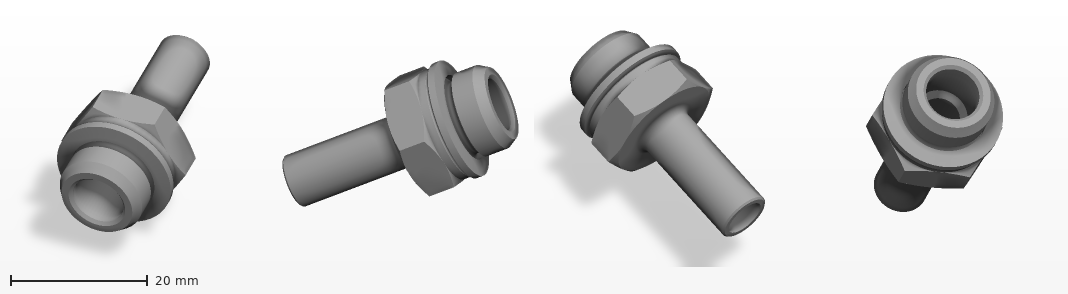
import cadquery as cq
import math

LENGTH = 34.0
TIP = -LENGTH / 2
STEM_END = LENGTH / 2

HEX_WIDTH = 17.0
HEX_CORNER_RADIUS = HEX_WIDTH / 2 / math.cos(math.pi / 6)
HEX_START = TIP + 9.5
HEX_LENGTH = 5.5
HEX_END = HEX_START + HEX_LENGTH
HEX_CHAMFER_ANGLE = math.radians(30)
COLLAR_RADIUS = HEX_WIDTH / 2
COLLAR_START = TIP + 8.0
COLLAR_CHAMFER = 0.2

STEM_RADIUS = 4.0
STEM_CHAMFER = 0.27
STEM_FILLET = 1.0

SPIGOT_RADIUS = 6.53
SPIGOT_TIP_RADIUS = 5.6
SPIGOT_CHAMFER_LENGTH = 1.53
SPIGOT_END = TIP + 4.93
NECK_RADIUS = 5.6
NECK_START = TIP + 5.88
NECK_END = TIP + 6.2
NECK_FILLET = 0.68
NECK_CONE_ANGLE = math.radians(45)

SEAT_RADIUS = SPIGOT_RADIUS
SEAT_FILLET = SEAT_RADIUS - NECK_RADIUS

BORE_RADIUS = 3.0
MOUTH_RADIUS = 4.0
MOUTH_RIM_RADIUS = 4.5
MOUTH_CHAMFER = MOUTH_RIM_RADIUS - MOUTH_RADIUS
MOUTH_DEPTH = 8.0
MOUTH_CONE_LENGTH = (MOUTH_RADIUS - BORE_RADIUS) * math.tan(math.radians(30))

WASHER_RADIUS = 9.0
WASHER_HOLE_RADIUS = 6.6
WASHER_THICKNESS = 1.87
WASHER_RIM_THICKNESS = 1.1


def revolve_about_y(profile):
    """Turn a closed (radius, station) profile once around the Y axis."""
    return profile.close().revolve(360, (0, 0, 0), (0, 1, 0))


def neck_fillet_point(angle):
    """Radius, and axial distance from the neck's end, of the neck fillet at an arc angle."""
    radius = NECK_RADIUS + NECK_FILLET * (1 - math.cos(angle))
    return radius, NECK_FILLET * math.sin(angle)


def make_turned_body():
    """Collar, stem and spigot as one turned blank."""
    fillet_middle_radius, fillet_middle_rise = neck_fillet_point(NECK_CONE_ANGLE / 2)
    fillet_end_radius, fillet_end_rise = neck_fillet_point(NECK_CONE_ANGLE)
    seat_arc_middle = (
        NECK_RADIUS + SEAT_FILLET * (1 - math.sqrt(0.5)),
        NECK_END + SEAT_FILLET * math.sqrt(0.5),
    )
    stem_arc_middle = (
        STEM_RADIUS + STEM_FILLET * (1 - math.sqrt(0.5)),
        HEX_END + STEM_FILLET * (1 - math.sqrt(0.5)),
    )
    profile = (
        cq.Workplane("XY")
        .moveTo(0, TIP)
        .lineTo(SPIGOT_TIP_RADIUS, TIP)
        .lineTo(SPIGOT_RADIUS, TIP + SPIGOT_CHAMFER_LENGTH)
        .lineTo(SPIGOT_RADIUS, SPIGOT_END)
        .lineTo(fillet_end_radius, NECK_START - fillet_end_rise)
        .threePointArc(
            (fillet_middle_radius, NECK_START - fillet_middle_rise),
            (NECK_RADIUS, NECK_START),
        )
        .lineTo(NECK_RADIUS, NECK_END)
        .threePointArc(seat_arc_middle, (SEAT_RADIUS, NECK_END + SEAT_FILLET))
        .lineTo(SEAT_RADIUS, COLLAR_START)
        .lineTo(COLLAR_RADIUS - COLLAR_CHAMFER, COLLAR_START)
        .lineTo(COLLAR_RADIUS, COLLAR_START + COLLAR_CHAMFER)
        .lineTo(COLLAR_RADIUS, HEX_END)
        .lineTo(STEM_RADIUS + STEM_FILLET, HEX_END)
        .threePointArc(stem_arc_middle, (STEM_RADIUS, HEX_END + STEM_FILLET))
        .lineTo(STEM_RADIUS, STEM_END - STEM_CHAMFER)
        .lineTo(STEM_RADIUS - STEM_CHAMFER, STEM_END)
        .lineTo(0, STEM_END)
    )
    return revolve_about_y(profile)


def make_hexagon():
    """Hexagonal prism with its corners cut back by a cone at both ends."""
    prism = (
        cq.Workplane("XZ", origin=(0, HEX_START, 0))
        .polygon(6, 2 * HEX_CORNER_RADIUS)
        .extrude(-HEX_LENGTH)
    )
    envelope_radius = HEX_CORNER_RADIUS + 0.35
    cone_length = (envelope_radius - HEX_WIDTH / 2) * math.tan(HEX_CHAMFER_ANGLE)
    envelope = revolve_about_y(
        cq.Workplane("XY")
        .moveTo(0, HEX_START)
        .lineTo(HEX_WIDTH / 2, HEX_START)
        .lineTo(envelope_radius, HEX_START + cone_length)
        .lineTo(envelope_radius, HEX_END - cone_length)
        .lineTo(HEX_WIDTH / 2, HEX_END)
        .lineTo(0, HEX_END)
    )
    return prism.intersect(envelope)


def make_bore():
    """Chamfered mouth, conical step and narrower bore running out through the stem."""
    mouth_end = TIP + MOUTH_DEPTH
    return revolve_about_y(
        cq.Workplane("XY")
        .moveTo(0, TIP)
        .lineTo(MOUTH_RIM_RADIUS, TIP)
        .lineTo(MOUTH_RADIUS, TIP + MOUTH_CHAMFER)
        .lineTo(MOUTH_RADIUS, mouth_end)
        .lineTo(BORE_RADIUS, mouth_end + MOUTH_CONE_LENGTH)
        .lineTo(BORE_RADIUS, STEM_END)
        .lineTo(0, STEM_END)
    )


def make_fitting():
    return make_turned_body().union(make_hexagon()).cut(make_bore())


def make_washer():
    """Ring with conical faces, resting against the collar around the neck."""
    back = COLLAR_START
    front = back - WASHER_THICKNESS
    rim_inset = (WASHER_THICKNESS - WASHER_RIM_THICKNESS) / 2
    return revolve_about_y(
        cq.Workplane("XY")
        .moveTo(WASHER_HOLE_RADIUS, front)
        .lineTo(WASHER_RADIUS, front + rim_inset)
        .lineTo(WASHER_RADIUS, back - rim_inset)
        .lineTo(WASHER_HOLE_RADIUS, back)
    )


fitting = make_fitting()
washer = make_washer()
result = cq.Compound.makeCompound([fitting.val(), washer.val()])